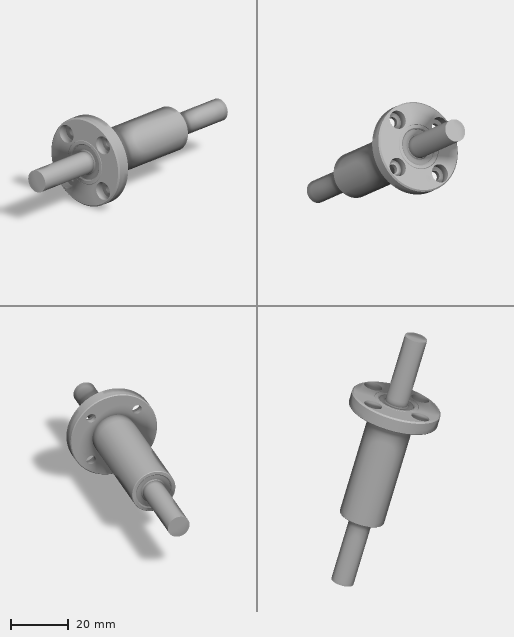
import cadquery as cq

shaft_diameter = 8.0
shaft_length = 95.0

sleeve_diameter = 16.0
sleeve_length = 45.0
sleeve_chamfer = 0.2

flange_diameter = 32.0
flange_thickness = 5.0
flange_front_chamfer = 0.5
flange_rear_chamfer = 0.3

hole_count = 4
first_hole_angle = 45.0
hole_circle_diameter = 24.0
hole_diameter = 3.4
counterbore_diameter = 6.5
counterbore_depth = 3.3

recess_diameter = 12.6
recess_chamfer = 0.4
recess_depth = 0.6
lip_diameter = 9.0
lip_tip_diameter = 8.3
lip_height = 0.35

shaft_front = -shaft_length / 2
sleeve_front = -sleeve_length / 2


def cylinder(diameter, front, length):
    """Cylinder on the Y axis whose front face is at Y = front."""
    return cq.Workplane("XZ", origin=(0, front, 0)).circle(diameter / 2).extrude(-length)


def cone(front_diameter, rear_diameter, front, length):
    """Cone frustum on the Y axis whose front face is at Y = front."""
    solid = cq.Solid.makeCone(
        front_diameter / 2, rear_diameter / 2, length, cq.Vector(0, front, 0), cq.Vector(0, 1, 0)
    )
    return cq.Workplane(solid)


def make_flange():
    """Flange ring; its bore lets the sleeve chamfer show as a fine groove."""
    flange = cylinder(flange_diameter, sleeve_front, flange_thickness)
    flange = flange.faces("<Y").chamfer(flange_front_chamfer)
    flange = flange.faces(">Y").chamfer(flange_rear_chamfer)
    flange = flange.cut(cylinder(sleeve_diameter, sleeve_front, flange_thickness))
    return (
        flange.faces("<Y").workplane(origin=(0, sleeve_front, 0))
        .polarArray(hole_circle_diameter / 2, first_hole_angle, 360, hole_count)
        .cboreHole(hole_diameter, counterbore_diameter, counterbore_depth, flange_thickness)
    )


def make_end_recess():
    """Cutter for the front recess: chamfered bore with the seal lip left standing."""
    mouth = cone(recess_diameter + 2 * recess_chamfer, recess_diameter, sleeve_front, recess_chamfer)
    recess = mouth.union(cylinder(recess_diameter, sleeve_front, recess_depth))
    lip = cone(lip_tip_diameter, lip_diameter, sleeve_front + recess_depth - lip_height, lip_height)
    return recess.cut(lip)


def make_sleeve():
    sleeve = cylinder(sleeve_diameter, sleeve_front, sleeve_length)
    sleeve = sleeve.faces("<Y or >Y").chamfer(sleeve_chamfer)
    front_recess = make_end_recess()
    return sleeve.cut(front_recess).cut(front_recess.mirror("XZ"))


shaft = cylinder(shaft_diameter, shaft_front, shaft_length)
result = make_sleeve().union(make_flange()).union(shaft)